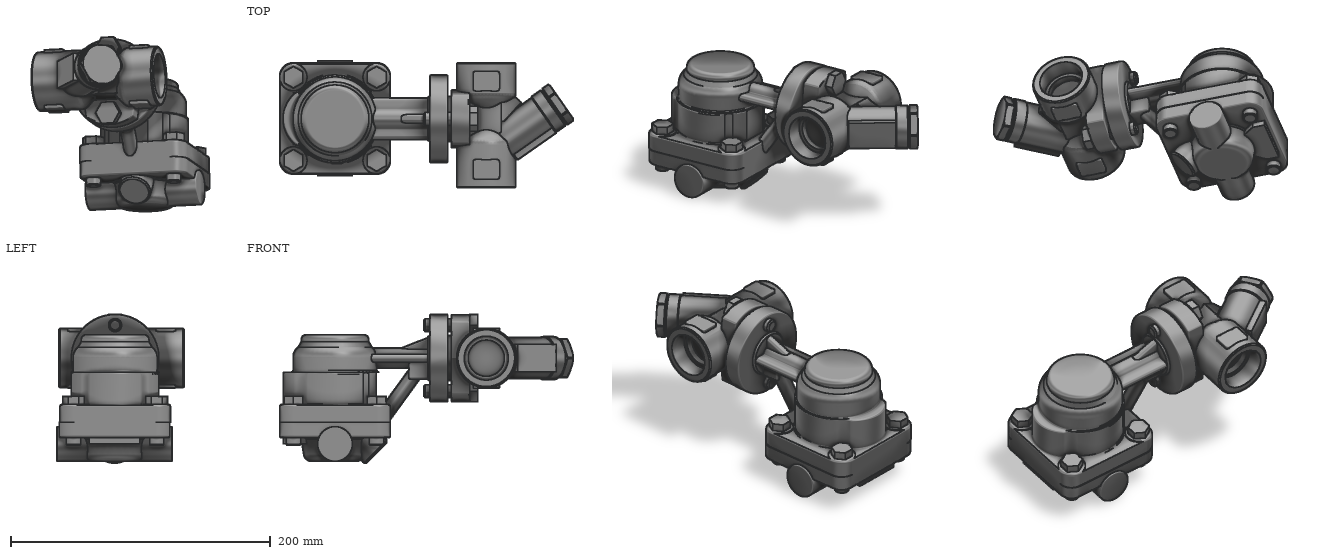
import cadquery as cq
import math


plate_side = 85.3
bolt_offset = 32.0
corner_radius = plate_side / 2 - bolt_offset
plate_top_z = -36.2
seat_top_z = -35.5
seat_radius = 10.5
parting_z = -49.2
plate_bottom_z = -61.2
plate_top_round = 2.2
plate_bottom_round = 1.6
cover_shift_y = 0.5

screw_hex_flats = 14.5
screw_hex_height = 6.0
screw_diameter = 11.0
screw_tip_z = -67.2
screw_tip_chamfer = 0.8

body_radius = 33.8
body_flat_x = 31.9
body_top_z = -10.8
body_top_round = 1.5
body_base_fillet = 1.0
bulge_radius = 26.0
bulge_center_x = -14.0
screw_clearance_radius = 12.0
scallop_edge_round = 4.5

dome_radius = 32.3
dome_base_fillet = 1.5
dome_shoulder_z = 0.0
dome_arc_mid = (31.4, 4.8)
dome_arc_end = (28.4, 8.5)
cap_radius = 26.1
cap_neck_z = 12.5
cap_edge_z = 14.0
cap_top_z = 18.1
cap_top_radius = 22.0

bowl_center_x = -1.0
bowl_top_radius = 25.0
bowl_bottom_radius = 22.3
bowl_bottom_z = -79.5
bowl_round = 6.3
bowl_flare = 1.2
cross_boss_diameter = 26.8
cross_boss_length = 88.7
cross_boss_round = 0.9
cross_boss_z = bowl_bottom_z + cross_boss_diameter / 2
lug_x = -40.0
lug_width = 39.0
lug_straight_length = 9.5
lug_inner_x = -14.0
lug_inner_width = 14.0
lug_bottom_z = -65.9
drain_boss_diameter = 25.0
drain_boss_chamfer = 1.2
drain_face_x = 32.0
drain_face_z = -72.84
drain_boss_length = 22.0

arm_diameter = 15.6
web_half_width = 16.2
web_thickness = 6.0
web_fillet = 1.5
rib_thickness = 6.8
rib_round = 2.7
rib_start_x = 51.0
rib_top_z = 16.4
gusset_start_x = 56.8
gusset_half_width = 7.5
gusset_bottom_z = -16.3
gusset_round = 1.5

pipe_diameter = 11.0
pipe_angle = 54.0
pipe_upper_x = 64.3
pipe_upper_z = -8.0
pipe_length = 70.0

flange_face_x = 73.0
flange_back_x = 86.9
flange_radius = 33.75
flange_edge = 1.3
collar_diameter = 35.0
collar_height = 1.8
collar_face_radius = 16.3

connector_face_x = 89.5
connector_back_x = 103.7
connector_radius = 33.5
connector_tip_half_width = 18.7
connector_mid_half_width = 22.3
connector_round = 1.0
connector_corner_round = 2.0
flange_bolt_offset = 25.4
flange_bolt_diameter = 10.0
flange_bolt_tip_x = 68.3
flange_bolt_chamfer = 1.2
flange_hex_flats = 16.5
flange_hex_height = 6.3

port_axis_x = 116.4
port_diameter = 45.7
port_end_y = 43.2
port_start_y = -53.15
port_edge = 1.0
port_bore_diameter = 33.9
port_bore_depth = 14.0
port_inner_diameter = 28.0
port_inner_depth = 19.5
shoulder_y = 17.3
waist_y = 8.4
waist_half_height = 14.0
waist_end_x = 127.9
shoulder_round = 6.0
port_pad_length_x = 20.4
port_pad_length_y = 15.2
port_pad_edge = 0.5
port_pad_round = 2.0
port_pad_top = 23.0
port_pad_bottom = 19.0
port_pad_centers_y = (29.0, -38.9)

branch_angle = 35.0
branch_end_x = 168.4
branch_end_y = 8.8
branch_radius = 16.0
branch_length = 52.0
branch_collar_radius = 16.7
branch_collar_length = 10.0
branch_collar_edge = 0.8
branch_pad_half_height = 10.6
branch_pad_offset = 17.2
branch_pad_length = 46.0
plug_neck_radius = 14.0
plug_neck_length = 1.2
plug_hex_flats = 30.0
plug_length = 7.3
plug_turned_radius = 17.0
plug_bevel = 1.6

corner_web_points = [(116.4, 16.5), (139.2, 16.5), (143.4, 12.4), (130.0, -2.0), (116.4, -2.0)]
corner_web_tip_x = 143.4
corner_web_tip_height = 2.0


def cylinder(center, direction, radius, length):
    return cq.Workplane(obj=cq.Solid.makeCylinder(radius, length, cq.Vector(*center), cq.Vector(*direction)))


def block(x_range, y_range, z_range):
    size = [high - low for low, high in (x_range, y_range, z_range)]
    corner = (x_range[0], y_range[0], z_range[0])
    return cq.Workplane("XY").box(*size, centered=False).translate(corner)


def hex_prism(plane, flats, height, turn=0):
    corners = flats / math.cos(math.pi / 6)
    return cq.Workplane(plane).transformed(rotate=(0, 0, turn)).polygon(6, corners).extrude(height)


def corner_points():
    return [(x, y) for x in (-bolt_offset, bolt_offset) for y in (-bolt_offset, bolt_offset)]


def square_block(bottom_z, top_z):
    half = plate_side / 2
    return block((-half, half), (-half, half), (bottom_z, top_z)).edges("|Z").fillet(corner_radius)


def make_plates():
    upper = square_block(parting_z, seat_top_z).faces(">Z").edges().fillet(plate_top_round)
    lower = square_block(plate_bottom_z, parting_z).faces("<Z").edges().fillet(plate_bottom_round)
    seats = (
        cq.Workplane("XY", origin=(0, 0, plate_top_z))
        .pushPoints(corner_points())
        .circle(seat_radius)
        .extrude(seat_top_z - plate_top_z)
    )
    between_seats = square_block(plate_top_z, seat_top_z).cut(seats)
    return upper.cut(between_seats).union(lower.translate((0, cover_shift_y, 0)))


def make_screws():
    screws = None
    for x, y in corner_points():
        head = hex_prism(cq.Plane((x, y, seat_top_z)), screw_hex_flats, screw_hex_height, turn=90)
        shank = cylinder((x, y, screw_tip_z), (0, 0, 1), screw_diameter / 2, seat_top_z - screw_tip_z)
        shank = shank.faces("<Z").chamfer(screw_tip_chamfer)
        screw = head.union(shank)
        screws = screw if screws is None else screws.union(screw)
    return screws


def make_body():
    height = body_top_z - plate_top_z
    base = cq.Workplane("XY", origin=(0, 0, plate_top_z))
    main = base.circle(body_radius).extrude(height)
    bulge = base.center(bulge_center_x, 0).circle(bulge_radius).extrude(height)
    body = main.union(bulge)
    clearance = base.pushPoints(corner_points()).circle(screw_clearance_radius).extrude(height)
    left_half = block((-plate_side, 0), (-plate_side, plate_side), (plate_top_z, body_top_z))
    body = body.cut(clearance.intersect(left_half))
    scallops = cq.selectors.BoxSelector(
        (-2 * bolt_offset, -bolt_offset, plate_top_z), (bulge_center_x, bolt_offset, body_top_z)
    )
    body = body.edges("|Z").edges(scallops).fillet(scallop_edge_round)
    body = body.faces(">Z").edges().fillet(body_top_round)

    foot = square_block(parting_z, plate_top_z)
    body = body.union(foot)
    base_edges = cq.selectors.BoxSelector(
        (lug_x - 0.1, -body_radius, plate_top_z - 0.1), (body_radius, body_radius, plate_top_z + 0.1)
    )
    body = body.edges(base_edges).fillet(body_base_fillet).cut(foot)
    kept = block((-plate_side, body_flat_x), (-plate_side, plate_side), (plate_top_z, body_top_z))
    return body.cut(clearance).intersect(kept)


def make_dome():
    cap_round = cap_radius - cap_top_radius
    diagonal = cap_round * math.sqrt(0.5)
    return (
        cq.Workplane("XZ")
        .moveTo(0, body_top_z)
        .lineTo(dome_radius + dome_base_fillet, body_top_z)
        .radiusArc((dome_radius, body_top_z + dome_base_fillet), dome_base_fillet)
        .lineTo(dome_radius, dome_shoulder_z)
        .threePointArc(dome_arc_mid, dome_arc_end)
        .lineTo(cap_radius, cap_neck_z)
        .lineTo(cap_radius, cap_edge_z)
        .threePointArc((cap_top_radius + diagonal, cap_top_z - cap_round + diagonal), (cap_top_radius, cap_top_z))
        .lineTo(0, cap_top_z)
        .close()
        .revolve(360, (0, 0, 0), (0, 1, 0))
    )


def make_cover_bowl():
    bowl = (
        cq.Workplane("XZ")
        .moveTo(0, parting_z)
        .lineTo(bowl_top_radius + bowl_flare, parting_z)
        .lineTo(bowl_top_radius + bowl_flare, plate_bottom_z)
        .lineTo(bowl_top_radius, plate_bottom_z - bowl_flare)
        .lineTo(bowl_bottom_radius, bowl_bottom_z)
        .lineTo(0, bowl_bottom_z)
        .close()
        .revolve(360, (0, 0, 0), (0, 1, 0))
        .faces("<Z")
        .edges()
        .fillet(bowl_round)
        .translate((bowl_center_x, 0, 0))
    )
    cross_boss = cylinder(
        (0, -cross_boss_length / 2, cross_boss_z), (0, 1, 0), cross_boss_diameter / 2, cross_boss_length
    )
    cross_boss = cross_boss.edges().fillet(cross_boss_round)
    lug_shoulder_x = lug_x + lug_straight_length
    lug = (
        cq.Workplane("XY", origin=(0, 0, lug_bottom_z))
        .polyline(
            [
                (lug_x, -lug_width / 2),
                (lug_shoulder_x, -lug_width / 2),
                (lug_inner_x, -lug_inner_width / 2),
                (lug_inner_x, lug_inner_width / 2),
                (lug_shoulder_x, lug_width / 2),
                (lug_x, lug_width / 2),
            ]
        )
        .close()
        .extrude(parting_z - lug_bottom_z)
    )
    drain_boss = cylinder(
        (drain_face_x, 0, drain_face_z), (-1, 0, 1), drain_boss_diameter / 2, drain_boss_length
    )
    drain_boss = drain_boss.faces("<Z").chamfer(drain_boss_chamfer)
    cover = bowl.union(cross_boss).union(lug).union(drain_boss)
    return cover.translate((0, cover_shift_y, 0))


def make_arm():
    tube = cylinder((0, 0, 0), (1, 0, 0), arm_diameter / 2, flange_back_x)
    bead_radius = web_thickness / 2
    bead_y = web_half_width - bead_radius
    web = block((0, flange_back_x), (-bead_y, bead_y), (-bead_radius, bead_radius))
    web_root_y = math.sqrt((arm_diameter / 2) ** 2 - bead_radius**2)
    roots = cq.selectors.BoxSelector(
        (-1, -web_root_y - 0.1, -bead_radius - 0.1),
        (flange_back_x + 1, web_root_y + 0.1, bead_radius + 0.1),
    )
    arm = tube.union(web)
    arm = arm.edges("|X").edges(roots).fillet(web_fillet)
    for y in (-bead_y, bead_y):
        arm = arm.union(cylinder((0, y, 0), (1, 0, 0), bead_radius, flange_face_x))
    rib = (
        cq.Workplane("XZ", origin=(0, rib_thickness / 2, 0))
        .polyline(
            [
                (rib_start_x, 0),
                (rib_start_x, arm_diameter / 2),
                (flange_face_x, rib_top_z),
                (flange_face_x, 0),
            ]
        )
        .close()
        .extrude(rib_thickness)
    )
    sloped_edges = cq.selectors.BoxSelector(
        (rib_start_x + 1, -rib_thickness, arm_diameter / 2 + 1), (flange_face_x - 1, rib_thickness, rib_top_z)
    )
    rib = rib.edges(sloped_edges).fillet(rib_round)
    gusset = block(
        (gusset_start_x, flange_face_x), (-gusset_half_width, gusset_half_width), (gusset_bottom_z, 0)
    )
    gusset = gusset.faces("<X or <Z").edges("not(>X or >Z)").fillet(gusset_round)
    return arm.union(rib).union(gusset)


def make_pipe():
    slope = math.radians(pipe_angle)
    return cylinder(
        (pipe_upper_x, 0, pipe_upper_z),
        (-math.cos(slope), 0, -math.sin(slope)),
        pipe_diameter / 2,
        pipe_length,
    )


def make_flange():
    disk = cylinder((flange_face_x, 0, 0), (1, 0, 0), flange_radius, flange_back_x - flange_face_x)
    disk = disk.edges().fillet(flange_edge)
    hub = cylinder((flange_face_x, 0, 0), (1, 0, 0), collar_diameter / 2, connector_face_x - flange_face_x)
    collar = cq.Solid.makeCone(
        collar_face_radius,
        collar_diameter / 2,
        collar_height,
        cq.Vector(flange_face_x - collar_height, 0, 0),
        cq.Vector(1, 0, 0),
    )
    return disk.union(hub).union(cq.Workplane(obj=collar))


def make_connector_flange():
    tip_z = math.sqrt(connector_radius**2 - connector_tip_half_width**2)
    flange = (
        cq.Workplane("YZ", origin=(connector_face_x, 0, 0))
        .moveTo(connector_mid_half_width, 0)
        .lineTo(connector_tip_half_width, tip_z)
        .threePointArc((0, connector_radius), (-connector_tip_half_width, tip_z))
        .lineTo(-connector_mid_half_width, 0)
        .lineTo(-connector_tip_half_width, -tip_z)
        .threePointArc((0, -connector_radius), (connector_tip_half_width, -tip_z))
        .close()
        .extrude(connector_back_x - connector_face_x)
    )
    flange = flange.edges("|X").edges("<Z or >Z").fillet(connector_corner_round)
    return flange.edges("<X or >X").fillet(connector_round)


def make_flange_bolts():
    bolts = None
    for z in (-flange_bolt_offset, flange_bolt_offset):
        shank = cylinder(
            (flange_bolt_tip_x, 0, z), (1, 0, 0), flange_bolt_diameter / 2, connector_back_x - flange_bolt_tip_x
        )
        shank = shank.faces("<X").chamfer(flange_bolt_chamfer)
        plane = cq.Plane((connector_back_x, 0, z), xDir=(0, 1, 0), normal=(1, 0, 0))
        bolt = shank.union(hex_prism(plane, flange_hex_flats, flange_hex_height))
        bolts = bolt if bolts is None else bolts.union(bolt)
    return bolts


def make_ports():
    port_radius = port_diameter / 2
    profile = (
        cq.Workplane("XY")
        .polyline(
            [
                (0, port_start_y),
                (port_radius, port_start_y),
                (port_radius, -shoulder_y),
                (waist_half_height, -waist_y),
                (waist_half_height, waist_y),
                (port_radius, shoulder_y),
                (port_radius, port_end_y),
                (0, port_end_y),
            ]
        )
        .close()
    )
    ports = profile.revolve(360, (0, 0, 0), (0, 1, 0))
    shoulders = cq.selectors.BoxSelector(
        (-port_diameter, -shoulder_y - 1, -port_diameter), (port_diameter, shoulder_y + 1, port_diameter)
    )
    ports = ports.edges("%CIRCLE").edges(shoulders).edges(cq.selectors.RadiusNthSelector(-1))
    ports = ports.fillet(shoulder_round).faces("<Y or >Y").edges().chamfer(port_edge)
    ports = ports.translate((port_axis_x, 0, 0))

    waist = block(
        (connector_face_x, waist_end_x), (-shoulder_y, shoulder_y), (-waist_half_height, waist_half_height)
    )
    ports = ports.union(waist)
    for y in port_pad_centers_y:
        for bottom, top, outer in (
            (port_pad_bottom, port_pad_top, ">Z"),
            (-port_pad_top, -port_pad_bottom, "<Z"),
        ):
            pad = block(
                (port_axis_x - port_pad_length_x / 2, port_axis_x + port_pad_length_x / 2),
                (y - port_pad_length_y / 2, y + port_pad_length_y / 2),
                (bottom, top),
            )
            pad = pad.edges("|Z").fillet(port_pad_round).faces(outer).edges().fillet(port_pad_edge)
            ports = ports.union(pad)
    corner_web = (
        cq.Workplane("XY", origin=(0, 0, -waist_half_height))
        .polyline(corner_web_points)
        .close()
        .extrude(2 * waist_half_height)
    )
    taper = (
        cq.Workplane("XZ", origin=(0, port_diameter / 2, 0))
        .polyline(
            [
                (port_axis_x, -waist_half_height),
                (waist_end_x, -waist_half_height),
                (corner_web_tip_x, -corner_web_tip_height),
                (corner_web_tip_x, corner_web_tip_height),
                (waist_end_x, waist_half_height),
                (port_axis_x, waist_half_height),
            ]
        )
        .close()
        .extrude(port_diameter)
    )
    corner_web = corner_web.intersect(taper)
    return ports.union(corner_web)


def cut_port_bores(part):
    for end_y, inward in ((port_start_y, 1), (port_end_y, -1)):
        start = (port_axis_x, end_y, 0)
        part = part.cut(cylinder(start, (0, inward, 0), port_bore_diameter / 2, port_bore_depth))
        part = part.cut(cylinder(start, (0, inward, 0), port_inner_diameter / 2, port_inner_depth))
    return part


def make_branch():
    along = (1, 0, 0)
    barrel = cylinder((-branch_length, 0, 0), along, branch_radius, branch_length)
    collar = cylinder((-branch_collar_length, 0, 0), along, branch_collar_radius, branch_collar_length)
    collar = collar.edges().chamfer(branch_collar_edge)
    pad = block(
        (-branch_pad_length, -branch_collar_length),
        (-branch_pad_offset, 0),
        (-branch_pad_half_height, branch_pad_half_height),
    )
    neck = cylinder((0, 0, 0), along, plug_neck_radius, plug_neck_length)
    plane = cq.Plane((plug_neck_length, 0, 0), xDir=(0, 1, 0), normal=along)
    plug = hex_prism(plane, plug_hex_flats, plug_length - plug_neck_length)
    envelope = cylinder((0, 0, 0), along, plug_turned_radius, plug_length)
    plug = plug.intersect(envelope.faces(">X").chamfer(plug_bevel / 2, plug_bevel))
    branch = barrel.union(collar).union(pad).union(neck).union(plug)
    return branch.rotate((0, 0, 0), (0, 0, 1), branch_angle).translate((branch_end_x, branch_end_y, 0))


result = make_plates()
for piece in (
    make_screws(),
    make_body(),
    make_dome(),
    make_cover_bowl(),
    make_arm(),
    make_pipe(),
    make_flange(),
    make_connector_flange(),
    make_flange_bolts(),
    make_ports(),
    make_branch(),
):
    result = result.union(piece)
result = cut_port_bores(result)